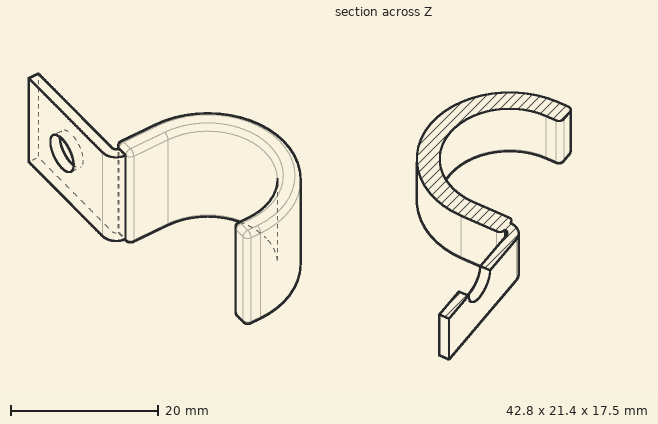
import cadquery as cq


overall_length = 42.79
overall_depth = 21.37

strap_thickness = 1.5875
strap_width = 15.875
hole_diameter = 5.556
hole_edge_distance = strap_width / 2

cushion_wall = 0.79375
bore_radius = 9.475
tab_leg_length = 6.45
free_leg_length = 2.38125

cushion_thickness = strap_thickness + 2 * cushion_wall
cushion_width = strap_width + 2 * cushion_wall
outer_radius = bore_radius + cushion_thickness
strap_inner_x = -(bore_radius + cushion_wall)
strap_outer_x = strap_inner_x - strap_thickness
tab_end_x = outer_radius - overall_length
tab_front_y = outer_radius - overall_depth
tab_back_y = tab_front_y + strap_thickness

bend_center_y = -tab_leg_length
bend_inner_radius = bend_center_y - tab_back_y
bend_outer_radius = bend_inner_radius + strap_thickness
bend_center_x = strap_outer_x - bend_inner_radius


def is_free_end_corner(edge):
    """True for an upright edge at the tip of the free leg."""
    center = edge.Center()
    return center.x > 0 and center.y < -free_leg_length / 2


def make_cushion():
    """Half ring with a straight leg at each end, every edge rounded."""
    outline = (
        cq.Workplane("XY")
        .workplane(offset=-cushion_width / 2)
        .moveTo(-outer_radius, -tab_leg_length)
        .lineTo(-outer_radius, 0)
        .threePointArc((0, outer_radius), (outer_radius, 0))
        .lineTo(outer_radius, -free_leg_length)
        .lineTo(bore_radius, -free_leg_length)
        .lineTo(bore_radius, 0)
        .threePointArc((0, bore_radius), (-bore_radius, 0))
        .lineTo(-bore_radius, -tab_leg_length)
        .close()
    )
    body = outline.extrude(cushion_width)
    tab_end_corners = body.faces("<Y").edges("|Z").vals()
    free_end_corners = body.edges("|Z").filter(is_free_end_corner).vals()
    rims = body.faces("|Z").edges().vals()
    return body.newObject(tab_end_corners + free_end_corners + rims).fillet(cushion_wall)


def make_strap():
    """Exposed strap: a stub buried in the cushion leg, the bend and the flat tab."""
    outline = (
        cq.Workplane("XY")
        .workplane(offset=-strap_width / 2)
        .moveTo(strap_inner_x, 0)
        .lineTo(strap_inner_x, bend_center_y)
        .radiusArc((bend_center_x, tab_front_y), bend_outer_radius)
        .lineTo(tab_end_x, tab_front_y)
        .lineTo(tab_end_x, tab_back_y)
        .lineTo(bend_center_x, tab_back_y)
        .radiusArc((strap_outer_x, bend_center_y), -bend_inner_radius)
        .lineTo(strap_outer_x, 0)
        .close()
    )
    return outline.extrude(strap_width)


def make_mounting_hole():
    """Round hole through the tab, centered across its width."""
    return (
        cq.Workplane("XZ", origin=(tab_end_x + hole_edge_distance, tab_back_y, 0))
        .circle(hole_diameter / 2)
        .extrude(strap_thickness)
    )


result = make_cushion().union(make_strap()).cut(make_mounting_hole())